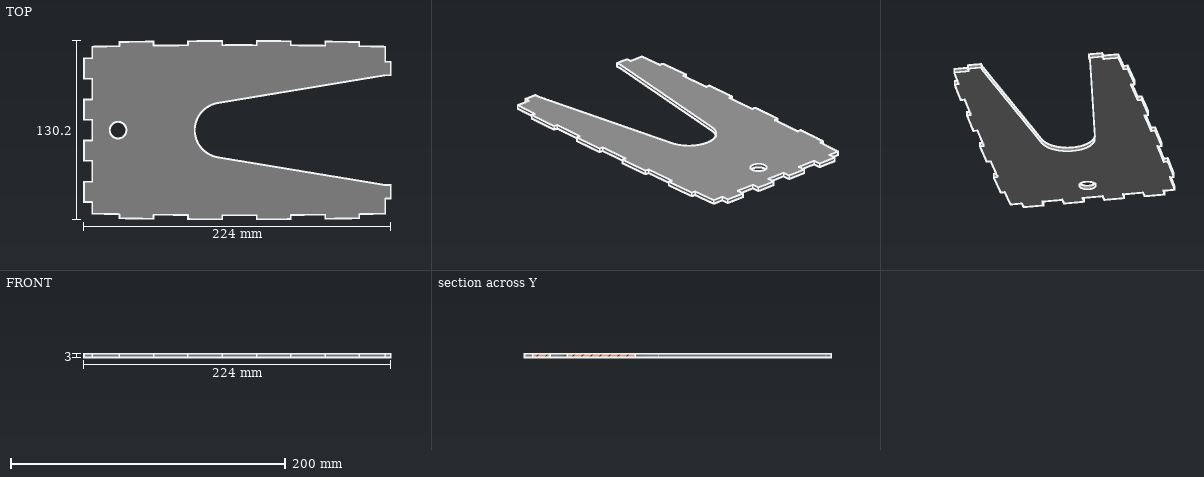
import cadquery as cq
import math

thickness = 3.0
body_length = 214.0
end_half_width = 61.0
crest_half_width = 62.135

side_tab_height = 3.0
side_tab_length = 25.0
side_tab_pitch = 50.0
side_tab_count = 4
first_side_tab_x = 20.0

rear_tab_depth = 6.0
rear_tab_width = 15.0
rear_tab_pitch = 30.0
rear_tab_count = 4

tip_tab_depth = 4.0
tip_tab_inner_y = 40.0
tip_tab_outer_y = 50.0

slot_radius = 20.0
slot_center_x = 95.0
hole_diameter = 12.0
hole_x = 19.0

mid_x = body_length / 2


def bowed_plate(margin):
    """Plate with both side edges bowed outwards, widened on each side by the margin."""
    corner_y = end_half_width + margin
    crest_y = crest_half_width + margin
    return (
        cq.Workplane("XY")
        .moveTo(0, -corner_y)
        .threePointArc((mid_x, -crest_y), (body_length, -corner_y))
        .lineTo(body_length, corner_y)
        .threePointArc((mid_x, crest_y), (0, corner_y))
        .close()
        .extrude(thickness)
    )


def block(x_min, x_max, y_min, y_max):
    """Full-thickness rectangular block."""
    return (
        cq.Workplane("XY")
        .moveTo(x_min, y_min)
        .lineTo(x_max, y_min)
        .lineTo(x_max, y_max)
        .lineTo(x_min, y_max)
        .close()
        .extrude(thickness)
    )


def add_side_tabs(plate):
    """Tabs on both side edges, following their bow."""
    wide_plate = bowed_plate(side_tab_height)
    strip_half_width = crest_half_width + side_tab_height
    for index in range(side_tab_count):
        start_x = first_side_tab_x + index * side_tab_pitch
        end_x = start_x + side_tab_length
        strip = block(start_x, end_x, -strip_half_width, strip_half_width)
        plate = plate.union(wide_plate.intersect(strip))
    return plate


def add_rear_tabs(plate):
    """Evenly spaced tabs on the closed end, centred on the plate axis."""
    for index in range(rear_tab_count):
        center_y = (index - (rear_tab_count - 1) / 2) * rear_tab_pitch
        tab_min_y = center_y - rear_tab_width / 2
        tab_max_y = center_y + rear_tab_width / 2
        plate = plate.union(block(-rear_tab_depth, 0, tab_min_y, tab_max_y))
    return plate


def add_tip_tabs(plate):
    """One tab on the tip of each prong, flush with the slot mouth."""
    tip_x = body_length + tip_tab_depth
    for side in (-1, 1):
        inner_y = side * tip_tab_inner_y
        outer_y = side * tip_tab_outer_y
        plate = plate.union(block(body_length, tip_x, inner_y, outer_y))
    return plate


def tapered_slot():
    """Slot with a round bottom and straight flanks tangent to it, open at the prong tips."""
    mouth_dx = body_length - slot_center_x
    mouth_distance = math.hypot(mouth_dx, tip_tab_inner_y)
    tangent_angle = math.atan2(tip_tab_inner_y, mouth_dx) + math.acos(slot_radius / mouth_distance)
    tangent_x = slot_center_x + slot_radius * math.cos(tangent_angle)
    tangent_y = slot_radius * math.sin(tangent_angle)
    return (
        cq.Workplane("XY")
        .moveTo(body_length, tip_tab_inner_y)
        .lineTo(tangent_x, tangent_y)
        .threePointArc((slot_center_x - slot_radius, 0), (tangent_x, -tangent_y))
        .lineTo(body_length, -tip_tab_inner_y)
        .close()
        .extrude(thickness)
    )


def hanging_hole():
    return cq.Workplane("XY").center(hole_x, 0).circle(hole_diameter / 2).extrude(thickness)


plate = bowed_plate(0)
plate = add_side_tabs(plate)
plate = add_rear_tabs(plate)
plate = add_tip_tabs(plate)
result = plate.cut(tapered_slot()).cut(hanging_hole())